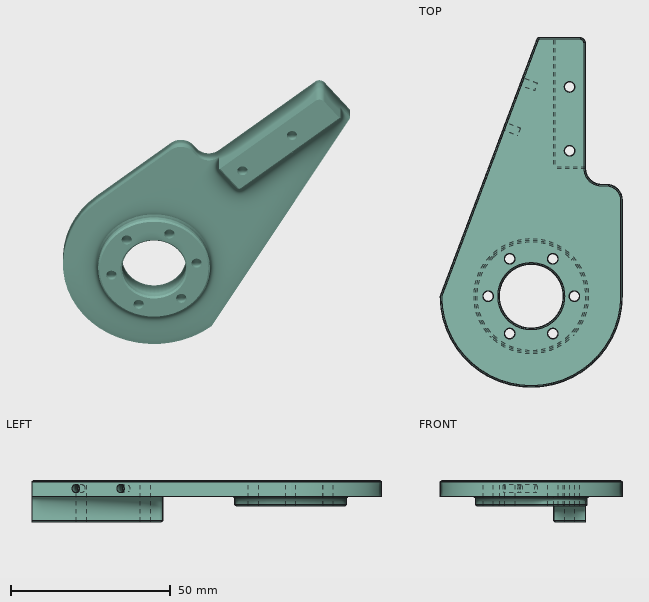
import cadquery as cq
import math

plate_thickness = 5.0
head_radius = 28.5
shoulder_y = 35.0
shoulder_radius = 5.0
arm_right_x = 17.0
tip_left_x = 2.0
tip_y = 81.0
tip_radius = 2.0
small_radius = 1.0
edge_chamfer = 0.5

boss_diameter = 35.0
boss_height = 3.0
bore_diameter = 20.0

screw_diameter = 3.2
bolt_circle_diameter = 27.0
bolt_count = 6
arm_hole_x = 12.0
arm_hole_ys = (45.5, 65.5)

rail_width = 10.0
rail_height = 8.0
rail_start_y = shoulder_y + shoulder_radius

side_hole_diameter = 2.5
side_hole_depth = 5.0
side_hole_count = 2
side_hole_spacing = 15.0
side_hole_tip_offset = 14.7


def make_plate():
    """Teardrop plate with a stepped shoulder, rounded corners and a chamfered top edge."""
    diagonal = math.sqrt(0.5)
    inner_center = (arm_right_x + shoulder_radius, shoulder_y + shoulder_radius)
    outer_center = (head_radius - shoulder_radius, shoulder_y - shoulder_radius)
    arc_reach = shoulder_radius * diagonal
    plate = (
        cq.Workplane("XY")
        .moveTo(-head_radius, 0)
        .threePointArc((0, -head_radius), (head_radius, 0))
        .lineTo(head_radius, outer_center[1])
        .threePointArc(
            (outer_center[0] + arc_reach, outer_center[1] + arc_reach),
            (outer_center[0], shoulder_y),
        )
        .lineTo(inner_center[0], shoulder_y)
        .threePointArc(
            (inner_center[0] - arc_reach, inner_center[1] - arc_reach),
            (arm_right_x, inner_center[1]),
        )
        .lineTo(arm_right_x, tip_y)
        .lineTo(tip_left_x, tip_y)
        .close()
        .extrude(plate_thickness)
    )
    plate = plate.edges("|Z and <X").fillet(small_radius)
    plate = plate.edges("|Z").edges(">Y").edges(">X").fillet(tip_radius)
    plate = plate.edges("|Z").edges(">Y").edges("<X").fillet(small_radius)
    return plate.faces(">Z").edges().chamfer(edge_chamfer)


def make_boss():
    """Round boss below the plate, flared at its root and chamfered at its lower rim."""
    boss_radius = boss_diameter / 2
    return (
        cq.Workplane("XZ")
        .moveTo(0, 0)
        .lineTo(boss_radius + edge_chamfer, 0)
        .lineTo(boss_radius, -edge_chamfer)
        .lineTo(boss_radius, edge_chamfer - boss_height)
        .lineTo(boss_radius - edge_chamfer, -boss_height)
        .lineTo(0, -boss_height)
        .close()
        .revolve(360, (0, 0, 0), (0, 1, 0))
    )


def make_rail():
    """Rectangular rail below the arm, rounded like the plate at the tip."""
    rail = (
        cq.Workplane("XY")
        .moveTo(arm_right_x - rail_width, rail_start_y)
        .lineTo(arm_right_x, rail_start_y)
        .lineTo(arm_right_x, tip_y)
        .lineTo(arm_right_x - rail_width, tip_y)
        .close()
        .extrude(-rail_height)
    )
    rail = rail.edges("|Z and >X and >Y").fillet(tip_radius)
    rail = rail.edges("|Z and <X and <Y").fillet(small_radius)
    return rail.faces("<Z").edges("<X").chamfer(edge_chamfer)


def make_bore():
    """Cutter for the bore, flared at both ends to break the edges."""
    bore_radius = bore_diameter / 2
    return (
        cq.Workplane("XZ")
        .moveTo(0, -boss_height)
        .lineTo(bore_radius + edge_chamfer, -boss_height)
        .lineTo(bore_radius, edge_chamfer - boss_height)
        .lineTo(bore_radius, plate_thickness - edge_chamfer)
        .lineTo(bore_radius + edge_chamfer, plate_thickness)
        .lineTo(0, plate_thickness)
        .close()
        .revolve(360, (0, 0, 0), (0, 1, 0))
    )


def make_screw_holes():
    """Cutters for the bolt circle and the two arm holes, through everything below."""
    arm_points = [(arm_hole_x, y) for y in arm_hole_ys]
    layout = cq.Workplane("XY").workplane(offset=-rail_height)
    bolt_circle = layout.polarArray(bolt_circle_diameter / 2, 0, 360, bolt_count)
    length = rail_height + plate_thickness
    bolt_holes = bolt_circle.circle(screw_diameter / 2).extrude(length)
    arm_holes = layout.pushPoints(arm_points).circle(screw_diameter / 2).extrude(length)
    return bolt_holes.union(arm_holes)


def make_side_hole(distance):
    """Cutter for a blind hole at the given distance from the tip corner."""
    slope = cq.Vector(tip_left_x + head_radius, tip_y, 0).normalized()
    inward = cq.Vector(slope.y, -slope.x, 0)
    tip_corner = cq.Vector(tip_left_x, tip_y, plate_thickness / 2)
    entry = tip_corner - slope * distance
    return cq.Solid.makeCylinder(side_hole_diameter / 2, side_hole_depth, entry, inward)


result = make_plate().union(make_boss()).union(make_rail())
result = result.cut(make_bore()).cut(make_screw_holes())
for index in range(side_hole_count):
    result = result.cut(make_side_hole(side_hole_tip_offset + index * side_hole_spacing))